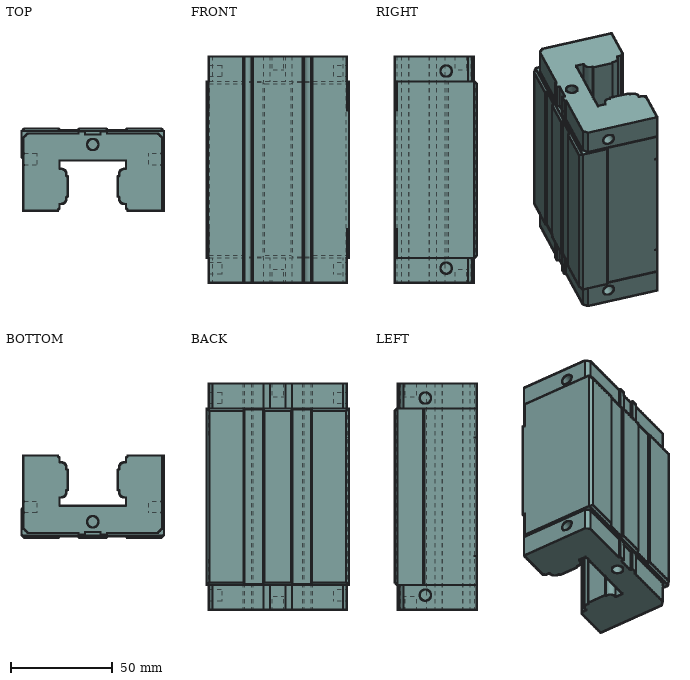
import cadquery as cq

total_length = 111.2
block_width = 70.0
block_height = 40.5
body_length = 86.5
cap_width = 67.8

half_width = block_width / 2
corner_chamfer = 1.5
groove_depth = 0.8
groove_inner_x = 7.2
groove_outer_x = 16.2
groove_flare = 0.7
end_chamfer = 1.2
relief_depth = 0.8
relief_height = 26.5

foot_chamfer_height = 1.2
foot_chamfer_length = 14.1

half_cap = cap_width / 2
cap_height = 38.0
cap_chamfer = 2.0
ridge_height = 38.9
ridge_half_width = 7.0
notch_floor = 37.6
notch_half_width = 3.9

channel_top = 24.7
channel_half_width = 16.2
throat_half_width = 12.2
shoulder_half_width = 12.9
jaw_center_y = 12.0
throat_flat_half = 4.9
shoulder_flat_half = 5.2
shoulder_half = 5.9
jaw_half = 8.7
jaw_arc_x = 13.6
jaw_arc_half = 7.8
jaw_root_x = 15.8
mouth_half_width = 17.0
mouth_depth = 0.6
mouth_taper_end = 1.2

port_diameter = 5.6
port_depth = 6.7
end_port_y = 32.6
side_port_y = 25.4
side_port_inset = 7.2

half_length = total_length / 2
half_body = body_length / 2


def prism(points, z_start, z_end):
    """Extrude a closed XY polygon from z_start to z_end."""
    return cq.Workplane("XY").workplane(offset=z_start).polyline(points).close().extrude(z_end - z_start)


def mirrored_in_x(shape):
    return shape.union(shape.mirror("YZ"))


def mirrored_in_z(shape):
    return shape.union(shape.mirror("XY"))


def make_body():
    """Full-width body with one relieved side, two top grooves and chamfered top ends."""
    relieved_x = half_width - relief_depth
    outline = [
        (-relieved_x, 0),
        (half_width, 0),
        (half_width, block_height - corner_chamfer),
        (half_width - corner_chamfer, block_height),
        (-half_width + corner_chamfer, block_height),
        (-half_width, block_height - corner_chamfer),
        (-half_width, relief_height),
        (-relieved_x, relief_height - relief_depth),
    ]
    body = prism(outline, -half_body, half_body)

    groove_floor = block_height - groove_depth
    groove = [
        (groove_inner_x, groove_floor),
        (groove_outer_x, groove_floor),
        (groove_outer_x + groove_flare, block_height),
        (groove_inner_x - groove_flare, block_height),
    ]
    body = body.cut(mirrored_in_x(prism(groove, -half_body, half_body)))

    end_wedge = (
        cq.Workplane("YZ")
        .moveTo(block_height, half_body)
        .lineTo(block_height - end_chamfer, half_body)
        .lineTo(block_height, half_body - end_chamfer)
        .close()
        .extrude(half_width, both=True)
    )
    body = body.cut(mirrored_in_z(end_wedge))

    foot_start = half_body - foot_chamfer_length
    for side_x in (-relieved_x, half_width):
        foot_x = half_cap if side_x > 0 else -half_cap
        corner = [(foot_x, 0), (side_x, 0), (side_x, foot_chamfer_height)]
        body = body.cut(mirrored_in_z(prism(corner, foot_start, half_body)))
    return body


def make_cap():
    """Upper end cap with a raised middle ridge split by a notch."""
    right_side = [
        (half_cap, 0),
        (half_cap, cap_height - cap_chamfer),
        (half_cap - cap_chamfer, cap_height),
        (ridge_half_width, cap_height),
        (ridge_half_width, ridge_height),
        (notch_half_width, ridge_height),
        (notch_half_width, notch_floor),
    ]
    left_side = [(-x, y) for x, y in reversed(right_side)]
    cap = prism(right_side + left_side, half_body, half_length)

    end_port = (
        cq.Workplane("XY", origin=(0, end_port_y, half_length))
        .circle(port_diameter / 2)
        .extrude(-port_depth)
    )
    side_port = (
        cq.Workplane("YZ", origin=(half_cap, side_port_y, half_length - side_port_inset))
        .circle(port_diameter / 2)
        .extrude(-port_depth)
    )
    return cap.cut(end_port).cut(mirrored_in_x(side_port))


def make_channel():
    """Rail channel, narrowed by a rounded jaw on each side."""
    def jaw_y(offset):
        return jaw_center_y + offset

    half_channel = (
        cq.Workplane("XY")
        .workplane(offset=-half_length)
        .moveTo(0, 0)
        .lineTo(mouth_half_width, 0)
        .lineTo(mouth_half_width, mouth_depth)
        .lineTo(channel_half_width, mouth_taper_end)
        .lineTo(channel_half_width, jaw_y(-jaw_half))
        .lineTo(jaw_root_x, jaw_y(-jaw_half))
        .threePointArc((jaw_arc_x, jaw_y(-jaw_arc_half)), (shoulder_half_width, jaw_y(-shoulder_half)))
        .lineTo(shoulder_half_width, jaw_y(-shoulder_flat_half))
        .lineTo(throat_half_width, jaw_y(-throat_flat_half))
        .lineTo(throat_half_width, jaw_y(throat_flat_half))
        .lineTo(shoulder_half_width, jaw_y(shoulder_flat_half))
        .lineTo(shoulder_half_width, jaw_y(shoulder_half))
        .threePointArc((jaw_arc_x, jaw_y(jaw_arc_half)), (jaw_root_x, jaw_y(jaw_half)))
        .lineTo(channel_half_width, jaw_y(jaw_half))
        .lineTo(channel_half_width, channel_top)
        .lineTo(0, channel_top)
        .close()
        .extrude(total_length)
    )
    return mirrored_in_x(half_channel)


cap = make_cap()
result = make_body().union(cap).union(cap.mirror("XY")).cut(make_channel())